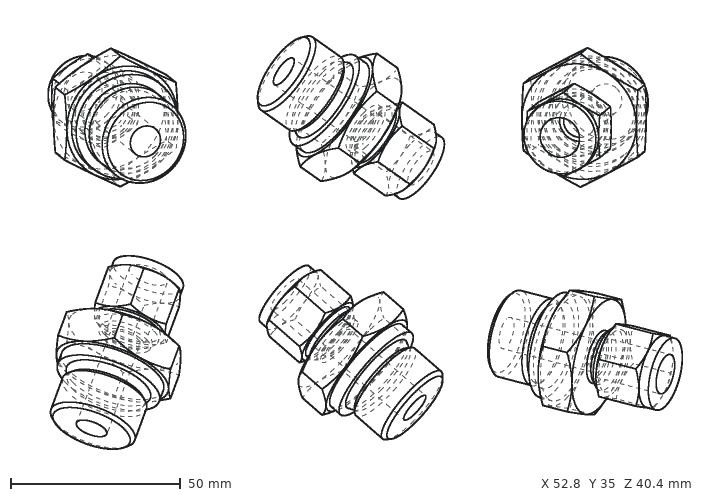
import cadquery as cq
import math


collar_end = 3.1
nut_end = 17.4
ferrule_end = 19.05
neck_start = 20.6
neck_end = 22.0
body_hex_end = 33.25
flange_end = 37.1
total_length = 52.8

nut_flats = 22.05
body_flats = 35.0
corner_turn_angle = 30.0
hex_chamfer_angle = 30.0
nut_face_diameter = 21.95
body_face_diameter = 34.9

ferrule_diameter = 19.0
neck_diameter = 16.05
flange_diameter = 32.0
thread_diameter = 26.4
undercut_diameter = 24.1
undercut_x = 39.65
thread_chamfer = (thread_diameter - undercut_diameter) / 2

socket_diameter = 12.0
bore_diameter = 9.5
socket_depth = neck_end


def revolve_profile(points):
    """Revolve a closed outline of (x, radius) points about the X axis."""
    return cq.Workplane("XY").polyline(points).close().revolve(360, (0, 0, 0), (1, 0, 0))


def cylinder(start, end, diameter):
    return cq.Workplane("YZ", origin=(start, 0, 0)).circle(diameter / 2).extrude(end - start)


def chamfered_hexagon(start, end, flats, face_diameter):
    """Hexagonal prism whose corners are turned off conically at both end faces."""
    corner_radius = flats / math.sqrt(3)
    face_radius = face_diameter / 2
    chamfer_length = (corner_radius - face_radius) * math.tan(math.radians(hex_chamfer_angle))
    prism = cq.Workplane("YZ", origin=(start, 0, 0)).polygon(6, 2 * corner_radius).extrude(end - start)
    prism = prism.rotate((0, 0, 0), (1, 0, 0), corner_turn_angle)
    envelope = revolve_profile([
        (start, 0),
        (start, face_radius),
        (start + chamfer_length, corner_radius),
        (end - chamfer_length, corner_radius),
        (end, face_radius),
        (end, 0),
    ])
    return prism.intersect(envelope)


def turned_core():
    """Round sections between and beyond the hexagons, as one turned blank."""
    thread_radius = thread_diameter / 2
    undercut_radius = undercut_diameter / 2
    return revolve_profile([
        (0, 0),
        (0, nut_face_diameter / 2),
        (collar_end, nut_face_diameter / 2),
        (collar_end, ferrule_diameter / 2),
        (ferrule_end, ferrule_diameter / 2),
        (neck_start, neck_diameter / 2),
        (body_hex_end, neck_diameter / 2),
        (body_hex_end, flange_diameter / 2),
        (flange_end, flange_diameter / 2),
        (flange_end, thread_radius),
        (undercut_x, undercut_radius),
        (undercut_x + thread_chamfer, thread_radius),
        (total_length - thread_chamfer, thread_radius),
        (total_length, undercut_radius),
        (total_length, 0),
    ])


nut = chamfered_hexagon(collar_end, nut_end, nut_flats, nut_face_diameter)
body_hex = chamfered_hexagon(neck_end, body_hex_end, body_flats, body_face_diameter)
tube_socket = cylinder(0, socket_depth, socket_diameter)
through_bore = cylinder(0, total_length, bore_diameter)

result = turned_core().union(nut).union(body_hex).cut(tube_socket).cut(through_bore)